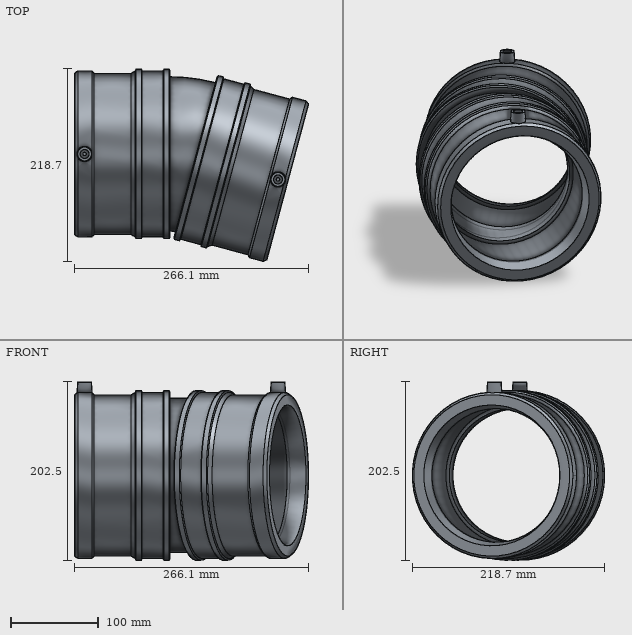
import cadquery as cq
import math

bend_angle = 15.0
socket_length = 108.6
tangent_length = 123.3
bend_radius = (tangent_length - socket_length) / math.tan(math.radians(bend_angle / 2))

body_diameter = 183.5
collar_diameter = 189.0
rib_diameter = 193.0
elbow_diameter = 175.7

mouth_chamfer = 3.7
collar_end = 19.7
collar_taper_end = 22.4
ramp_start = 64.5
ramp_end = 69.0
rib_width = 8.0
rib_side_taper = 1.0

mouth_diameter = 160.0
mouth_taper_end = 17.8
land_end = 21.0
narrow_diameter = 152.0
socket_bore_end = 97.2
socket_bore_diameter = 160.0

terminal_position = 11.5
terminal_top = 106.0
terminal_foot = 90.5
terminal_top_diameter = 15.7
terminal_foot_diameter = 17.8
terminal_bore = 10.0
terminal_bore_depth = 9.5
contact_diameter = 4.0
contact_recess = 5.3


def disc(diameter, height, bottom):
    """Vertical cylinder centred over the terminal position."""
    return (
        cq.Workplane("XY", origin=(terminal_position, 0, bottom))
        .circle(diameter / 2)
        .extrude(height)
    )


def turned_about_x(outline):
    """Solid of revolution about X from (position, radius) points."""
    return cq.Workplane("XY").polyline(outline).close().revolve(360, (0, 0, 0), (1, 0, 0))


def socket_body():
    """Solid socket turned about X, with its mouth at X = 0."""
    body_radius = body_diameter / 2
    collar_radius = collar_diameter / 2
    rib_radius = rib_diameter / 2
    outline = [
        (0, 0),
        (0, body_radius),
        (mouth_chamfer, collar_radius),
        (collar_end, collar_radius),
        (collar_taper_end, body_radius),
        (ramp_start, body_radius),
        (ramp_end, collar_radius),
        (ramp_end + rib_side_taper, rib_radius),
        (ramp_end + rib_width - rib_side_taper, rib_radius),
        (ramp_end + rib_width, collar_radius),
        (socket_length - rib_width, collar_radius),
        (socket_length - rib_width + rib_side_taper, rib_radius),
        (socket_length - rib_side_taper, rib_radius),
        (socket_length, collar_radius),
        (socket_length, 0),
    ]
    return turned_about_x(outline)


def socket_bore():
    """Bore of one socket: tapered mouth, narrow land, wider length, narrow inner end."""
    mouth_radius = mouth_diameter / 2
    narrow_radius = narrow_diameter / 2
    inner_radius = socket_bore_diameter / 2
    outline = [
        (0, 0),
        (0, mouth_radius),
        (mouth_taper_end, narrow_radius),
        (land_end, narrow_radius),
        (land_end, inner_radius),
        (socket_bore_end, inner_radius),
        (socket_bore_end, narrow_radius),
        (socket_length, narrow_radius),
        (socket_length, 0),
    ]
    return turned_about_x(outline)


def terminal_shell():
    """Tapered terminal post."""
    return (
        cq.Workplane("XY", origin=(terminal_position, 0, terminal_foot))
        .circle(terminal_foot_diameter / 2)
        .workplane(offset=terminal_top - terminal_foot)
        .circle(terminal_top_diameter / 2)
        .loft()
    )


def terminal_cavity():
    """Blind annular hole that leaves the contact pin standing in the middle."""
    floor = terminal_top - terminal_bore_depth
    hole = disc(terminal_bore, terminal_bore_depth, floor)
    return hole.cut(disc(contact_diameter, terminal_bore_depth - contact_recess, floor))


def elbow(diameter):
    """Solid round elbow joining the inner ends of the sockets."""
    return (
        cq.Workplane("YZ", origin=(socket_length, 0, 0))
        .circle(diameter / 2)
        .revolve(bend_angle, (-bend_radius, 2.7, 0), (-bend_radius, 0, 0))
    )


def both_ends(shape):
    """Shape together with its mirror image at the other end of the fitting."""
    corner = (tangent_length, 0, 0)
    corner_axis_end = (tangent_length, 0, 1)
    opposite = shape.mirror("YZ", corner).rotate(corner, corner_axis_end, -bend_angle)
    return shape, opposite


near_body, far_body = both_ends(socket_body().union(terminal_shell()))
near_bore, far_bore = both_ends(socket_bore())
near_cavity, far_cavity = both_ends(terminal_cavity())

result = near_body.union(elbow(elbow_diameter)).union(far_body)
for void in (near_bore, elbow(narrow_diameter), far_bore, near_cavity, far_cavity):
    result = result.cut(void)